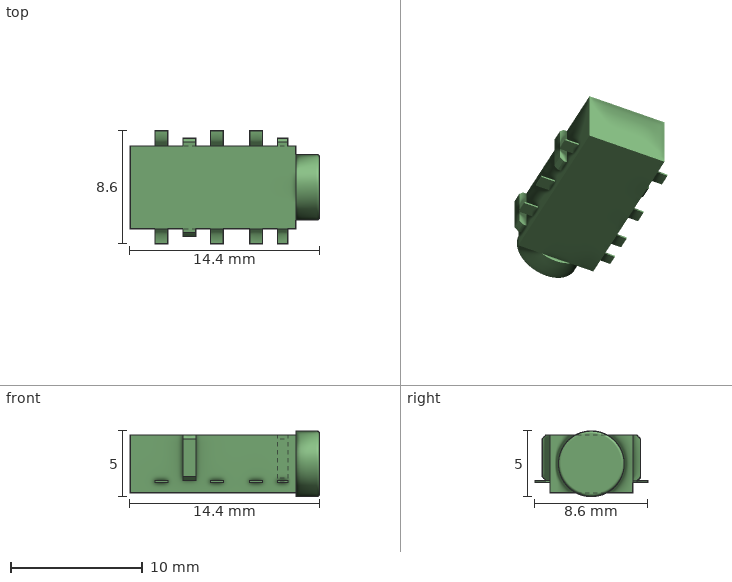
import cadquery as cq

body_length = 12.6
body_width = 6.3
body_height = 4.4
body_bottom = -body_height / 2

barrel_diameter = 5.0
total_length = 14.4
barrel_length = total_length - body_length
barrel_edge_radius = 0.2

terminal_span = 8.6
terminal_thickness = 0.15
terminal_clearance = 0.78
terminal_bottom = body_bottom + terminal_clearance
terminal_top = terminal_bottom + terminal_thickness
terminal_width = 1.0
narrow_width = 0.8
terminal_starts = [1.87, 6.09, 9.09]
narrow_start = 11.19

tab_reach = 0.59
tab_bevel = 0.3
tab_top = body_height / 2
tab_start = 4.0
tab_bottom = terminal_top
narrow_tab_drop = 0.09
narrow_tab_bottom = tab_bottom - narrow_tab_drop

BACK = 1
FRONT = -1


def block(start, length, width, bottom, height):
    """Block spanning X from start, centred on Y = 0."""
    return (
        cq.Workplane("XY")
        .box(length, width, height, centered=(False, True, False))
        .translate((start, 0, bottom))
    )


def barrel():
    """Round barrel with a rounded rim at its open end."""
    return (
        cq.Workplane("YZ", origin=(body_length, 0, 0))
        .circle(barrel_diameter / 2)
        .extrude(barrel_length)
        .faces(">X")
        .edges()
        .fillet(barrel_edge_radius)
    )


def side_terminal(start, width, side):
    """Flat terminal from the centre plane out through one long side."""
    reach = terminal_span / 2
    return (
        cq.Workplane("XY")
        .box(width, reach, terminal_thickness, centered=(False, True, False))
        .translate((start, side * reach / 2, terminal_bottom))
    )


def side_tab(start, width, bottom, side):
    """Bevelled upright tab on one long side."""
    wall = side * body_width / 2
    outer = wall + side * tab_reach
    shoulder = outer - side * tab_bevel
    outline = [
        (0, tab_top),
        (shoulder, tab_top),
        (outer, tab_top - tab_bevel),
        (outer, bottom + tab_bevel),
        (shoulder, bottom),
        (0, bottom),
    ]
    return cq.Workplane("YZ", origin=(start, 0, 0)).polyline(outline).close().extrude(width)


result = block(0, body_length, body_width, body_bottom, body_height).union(barrel())

for start in terminal_starts:
    for side in (FRONT, BACK):
        result = result.union(side_terminal(start, terminal_width, side))
result = result.union(side_terminal(narrow_start, narrow_width, FRONT))

for side in (FRONT, BACK):
    result = result.union(side_tab(tab_start, terminal_width, tab_bottom, side))
result = result.union(side_tab(narrow_start, narrow_width, narrow_tab_bottom, BACK))